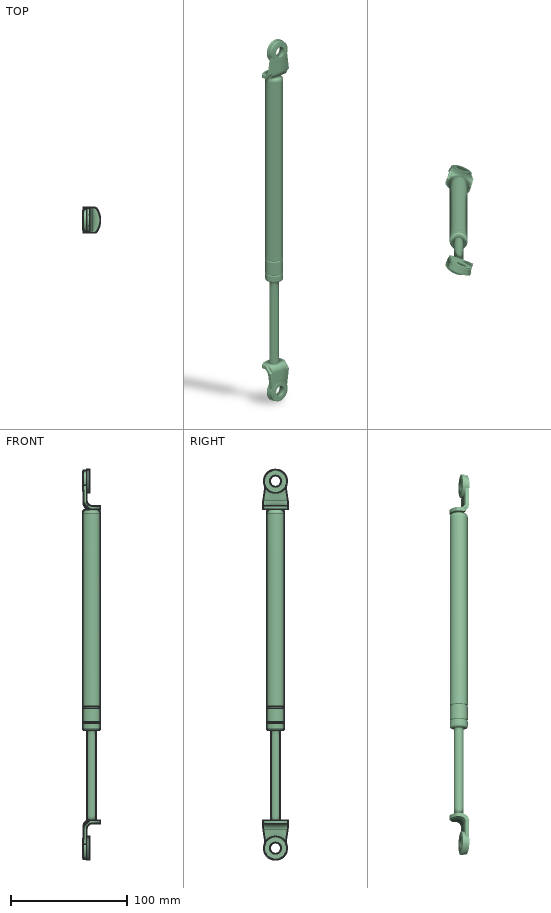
import cadquery as cq
import math

LENGTH = 336.0
BUSH_FLANGE_R = 10.0
EYE_Z = LENGTH / 2 - BUSH_FLANGE_R

SHEET = 3.0
BEND_INNER_R = 4.7
BEND_OUTER_R = 5.7
PLATE_OUTER_X = -7.0
FOOT_TIP_X = 7.7
FOOT_FACE_Z = 133.7
FOOT_WIDTH = 22.0
FOOT_TIP_ARC_R = 16.8
FOOT_CORNER_R = 2.0
EYE_PLATE_R = 9.5
NECK_WIDTH = 17.5
BEND_WIDTH = 17.5

BUSH_OUTER_X = -7.7
BUSH_INNER_X = -1.7
BUSH_BODY_R = 6.7
BUSH_LIP_R = 8.0
BUSH_HOLE_R = 4.7

CYLINDER_R = 7.7
CYLINDER_BOTTOM_Z = -56.5
CYLINDER_TOP_ROUND = 3.5
CYLINDER_BOTTOM_ROUND = 1.7
GROOVE_HEIGHTS = (-36.5, -49.7)
GROOVE_SECTION_R = 0.7
ROD_R = 4.0


def x_cylinder(radius, x_start, x_end):
    """Cylinder along X, centred on the upper eye."""
    return (
        cq.Workplane("YZ", origin=(x_start, 0, EYE_Z))
        .circle(radius)
        .extrude(x_end - x_start)
    )


def bent_sheet():
    """L profile with a reinforced bend, extruded across the full width."""
    plate_inner_x = PLATE_OUTER_X + SHEET
    foot_upper_z = FOOT_FACE_Z + SHEET
    bend_x = PLATE_OUTER_X + BEND_OUTER_R
    bend_z = FOOT_FACE_Z + BEND_OUTER_R
    top_z = EYE_Z + EYE_PLATE_R
    return (
        cq.Workplane("XZ")
        .moveTo(PLATE_OUTER_X, top_z)
        .lineTo(PLATE_OUTER_X, bend_z)
        .radiusArc((bend_x, FOOT_FACE_Z), -BEND_OUTER_R)
        .lineTo(FOOT_TIP_X, FOOT_FACE_Z)
        .lineTo(FOOT_TIP_X, foot_upper_z)
        .lineTo(plate_inner_x + BEND_INNER_R, foot_upper_z)
        .radiusArc((plate_inner_x, foot_upper_z + BEND_INNER_R), BEND_INNER_R)
        .lineTo(plate_inner_x, top_z)
        .close()
        .extrude(FOOT_WIDTH / 2, both=True)
    )


def eye_plate_outline():
    """Tapered outline seen along X, narrowing to a neck below the round eye."""
    half_width = FOOT_WIDTH / 2
    half_neck = NECK_WIDTH / 2
    bend_z = FOOT_FACE_Z + BEND_OUTER_R
    neck_z = EYE_Z - math.sqrt(EYE_PLATE_R**2 - half_neck**2)
    return (
        cq.Workplane("YZ", origin=(PLATE_OUTER_X, 0, 0))
        .moveTo(-half_width, FOOT_FACE_Z)
        .lineTo(-half_width, bend_z)
        .lineTo(-half_neck, neck_z)
        .threePointArc((0, EYE_Z + EYE_PLATE_R), (half_neck, neck_z))
        .lineTo(half_width, bend_z)
        .lineTo(half_width, FOOT_FACE_Z)
        .close()
        .extrude(FOOT_TIP_X - PLATE_OUTER_X)
    )


def foot_outline():
    """Foot outline seen along Z: straight sides and a shallow arc at the tip."""
    half_width = FOOT_WIDTH / 2
    arc_centre_x = FOOT_TIP_X - FOOT_TIP_ARC_R
    side_end_x = arc_centre_x + math.sqrt(FOOT_TIP_ARC_R**2 - half_width**2)
    tip_corners = cq.selectors.BoxSelector(
        (0, -FOOT_WIDTH, 0),
        (FOOT_TIP_X, FOOT_WIDTH, LENGTH),
    ) & cq.selectors.ParallelDirSelector(cq.Vector(0, 0, 1))
    return (
        cq.Workplane("XY", origin=(0, 0, FOOT_FACE_Z))
        .moveTo(PLATE_OUTER_X, -half_width)
        .lineTo(side_end_x, -half_width)
        .threePointArc((FOOT_TIP_X, 0), (side_end_x, half_width))
        .lineTo(PLATE_OUTER_X, half_width)
        .close()
        .extrude(LENGTH / 2 - FOOT_FACE_Z)
        .edges(tip_corners)
        .fillet(FOOT_CORNER_R)
    )


def bend_reliefs():
    """Flat bevels across the outer curve at both ends of the bend."""
    bevels = (
        cq.Workplane("XZ")
        .moveTo(PLATE_OUTER_X, FOOT_FACE_Z)
        .lineTo(PLATE_OUTER_X + BEND_OUTER_R, FOOT_FACE_Z)
        .lineTo(PLATE_OUTER_X, FOOT_FACE_Z + BEND_OUTER_R)
        .close()
        .extrude(FOOT_WIDTH / 2, both=True)
    )
    uncut_middle = cq.Workplane("XY", origin=(0, 0, FOOT_FACE_Z)).box(
        FOOT_WIDTH, BEND_WIDTH, 2 * FOOT_WIDTH
    )
    return bevels.cut(uncut_middle)


def make_bracket():
    eye = x_cylinder(BUSH_BODY_R, PLATE_OUTER_X, PLATE_OUTER_X + SHEET)
    blank = bent_sheet().intersect(eye_plate_outline()).intersect(foot_outline())
    return blank.cut(bend_reliefs()).cut(eye)


def make_bush():
    lip = x_cylinder(BUSH_LIP_R, BUSH_OUTER_X, PLATE_OUTER_X)
    body = x_cylinder(BUSH_BODY_R, BUSH_OUTER_X, BUSH_INNER_X)
    flange = x_cylinder(BUSH_FLANGE_R, PLATE_OUTER_X + SHEET, BUSH_INNER_X)
    hole = x_cylinder(BUSH_HOLE_R, BUSH_OUTER_X, BUSH_INNER_X)
    return body.union(lip).union(flange).cut(hole)


def make_cylinder():
    body = (
        cq.Workplane("XY", origin=(0, 0, CYLINDER_BOTTOM_Z))
        .circle(CYLINDER_R)
        .extrude(FOOT_FACE_Z - CYLINDER_BOTTOM_Z)
        .faces(">Z")
        .edges()
        .fillet(CYLINDER_TOP_ROUND)
        .faces("<Z")
        .edges()
        .fillet(CYLINDER_BOTTOM_ROUND)
    )
    for height in GROOVE_HEIGHTS:
        groove = cq.Solid.makeTorus(CYLINDER_R, GROOVE_SECTION_R, cq.Vector(0, 0, height))
        body = body.cut(groove)
    return body


def make_rod():
    """Rod between the cylinder's lower face and the lower foot."""
    return (
        cq.Workplane("XY", origin=(0, 0, -FOOT_FACE_Z))
        .circle(ROD_R)
        .extrude(CYLINDER_BOTTOM_Z + FOOT_FACE_Z)
    )


cylinder = make_cylinder()
rod = make_rod()
brackets = []
bushes = []
for is_lower in (False, True):
    bracket = make_bracket()
    bush = make_bush()
    if is_lower:
        bracket = bracket.mirror("XY")
        bush = bush.mirror("XY")
    brackets.append(bracket.val())
    bushes.append(bush.val())

result = cq.Compound.makeCompound([cylinder.val(), rod.val(), *brackets, *bushes])